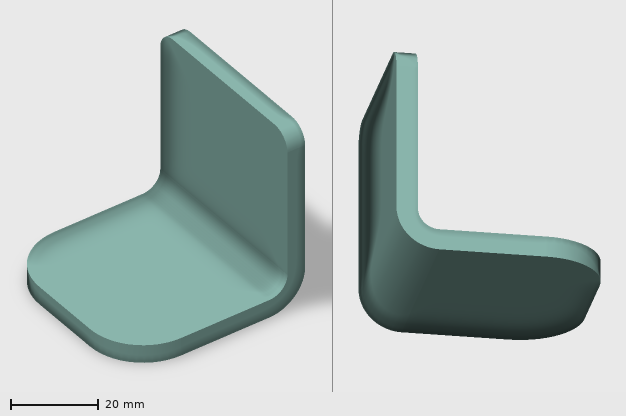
import cadquery as cq

width = 50.0
depth = 50.0
height = 50.0
thickness = 5.0
inner_bend_radius = 5.0
wall_corner_radius = 5.0
base_corner_radius = 15.0

outer_bend_radius = inner_bend_radius + thickness


def bent_plate():
    """L-shaped plate: base along Y, upright wall at the +Y end, centred on X."""
    profile = (
        cq.Workplane("YZ")
        .moveTo(0, 0)
        .lineTo(depth - outer_bend_radius, 0)
        .radiusArc((depth, outer_bend_radius), -outer_bend_radius)
        .lineTo(depth, height)
        .lineTo(depth - thickness, height)
        .lineTo(depth - thickness, outer_bend_radius)
        .radiusArc((depth - outer_bend_radius, thickness), inner_bend_radius)
        .lineTo(0, thickness)
        .close()
    )
    return profile.extrude(width / 2, both=True)


plate = bent_plate()
plate = plate.faces("<Y").edges("|Z").fillet(base_corner_radius)
result = plate.faces(">Z").edges("|Y").fillet(wall_corner_radius)